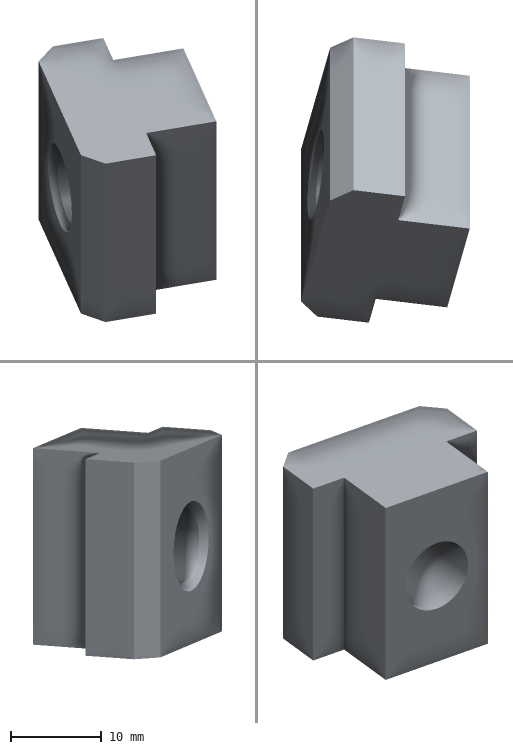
import cadquery as cq

width = 22.0
depth = 16.0
length = 22.0

neck_width = 13.7
neck_depth = 8.0
edge_chamfer = 2.2

hole_diameter = 8.38
countersink_diameter = 10.0
countersink_angle = 90.0


def t_block():
    """T-shaped prism with its wide face at Y = 0 and its neck toward +Y."""
    half_width = width / 2
    half_neck = neck_width / 2
    shoulder_y = depth - neck_depth
    right_half = [
        (0, 0),
        (half_width - edge_chamfer, 0),
        (half_width, edge_chamfer),
        (half_width, shoulder_y),
        (half_neck, shoulder_y),
        (half_neck, depth),
        (0, depth),
    ]
    return cq.Workplane("XY").polyline(right_half).mirrorY().extrude(length)


def drill_hole(block):
    """Drill the countersunk hole through the middle of the wide face."""
    face = block.faces("<Y").workplane(origin=(0, 0, length / 2))
    return face.cskHole(hole_diameter, countersink_diameter, countersink_angle)


result = drill_hole(t_block())